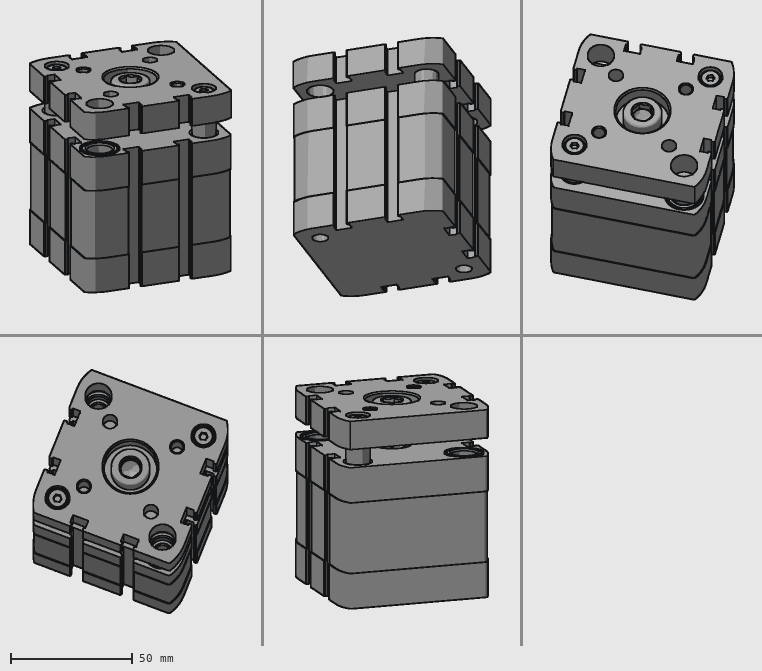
import cadquery as cq
import math

WIDTH = 65.5
HALF = WIDTH / 2
FLANK_HALF = 23.4
FLANK_RADIUS = 17.0

CAP_HEIGHT = 15.0
BARREL_HEIGHT = 30.0
BARREL_INSET = 0.35
HOUSING_HEIGHT = 2 * CAP_HEIGHT + BARREL_HEIGHT
HOUSING_CORNER_FILLET = 1.4

TOTAL_HEIGHT = 79.7
PLATE_THICKNESS = 12.0
PLATE_BOTTOM = TOTAL_HEIGHT - PLATE_THICKNESS
PLATE_CORNER_FILLET = 0.7

SLOT_OFFSET = 11.2
SLOT_DEPTH = 4.9
SLOT_WIDTH = 6.75
SLOT_NECK_WIDTH = 5.2
SLOT_NECK_DEPTH = 1.65
SLOT_LIP_CHAMFER = 0.4

CORNER_OFFSET = 46.5 / 2
ROD_CORNERS = [(-CORNER_OFFSET, -CORNER_OFFSET), (CORNER_OFFSET, CORNER_OFFSET)]
SCREW_CORNERS = [(-CORNER_OFFSET, CORNER_OFFSET), (CORNER_OFFSET, -CORNER_OFFSET)]

GUIDE_DIAMETER = 10.0
GUIDE_SEAL_DIAMETER = 12.0
GUIDE_SEAL_DEPTH = 0.5
GUIDE_DEPTH = 50.0
GUIDE_RECESS_DIAMETER = 10.0
GUIDE_HEAD_DIAMETER = 8.5
GUIDE_HEAD_DROP = 0.8
GUIDE_HEAD_CHAMFER = 0.5
GUIDE_RECESS_DEPTH = 3.0
GUIDE_HEX = 3.0
GUIDE_HEX_DEPTH = 2.0
GUIDE_HEX_TURN = 15

PISTON_ROD_DIAMETER = 16.0
WRENCH_FLATS = 13.0
WRENCH_FLAT_BOTTOM = 61.5
PISTON_ROD_DEPTH = 50.0

POCKET_DIAMETER = 22.0
POCKET_DEPTH = 7.2
POCKET_CHAMFER = 0.7
HEAD_DIAMETER = 16.0
HEAD_DROP = 0.9
HEAD_FILLET = 1.0
HEX = 8.0
HEX_DEPTH = 3.6
HEX_RIM_DIAMETER = 9.4
HEX_CONE_BREAK_DIAMETER = 5.2
HEX_CONE_DEPTH = 0.9
HEX_TIP_DEPTH = 1.3

ACCESS_DIAMETER = 11.0
FIXING_OFFSET = 14.85
FIXING_DEPTH = 10.0
DOWEL_DIAMETER = 6.0
THREAD_DIAMETER = 4.92
THREAD_CHAMFER_DIAMETER = 6.0
DOWEL_HOLES = [(-FIXING_OFFSET, FIXING_OFFSET), (FIXING_OFFSET, -FIXING_OFFSET)]
THREADED_HOLES = [(-FIXING_OFFSET, -FIXING_OFFSET), (FIXING_OFFSET, FIXING_OFFSET)]

GROOVE_DIAMETER = 16.4
GROOVE_DEPTH = 0.5
DISC_DIAMETER = 15.5
DISC_CHAMFER = 0.5
SOCKET_DIAMETER = 10.6
SOCKET_RIM_DIAMETER = 12.0
SOCKET_DEPTH = 5.0
BORE_DIAMETER = 6.65
BORE_RIM_DIAMETER = 8.0
BORE_RIM_DEPTH = 0.5


def cylinder(diameter, bottom, top, points=((0, 0),)):
    return (
        cq.Workplane("XY", origin=(0, 0, bottom))
        .pushPoints(points)
        .circle(diameter / 2)
        .extrude(top - bottom)
    )


def cone(bottom_diameter, top_diameter, bottom, top, points=((0, 0),)):
    """Truncated cones, or pointed ones when bottom_diameter is zero."""
    solid = cq.Solid.makeCone(bottom_diameter / 2, top_diameter / 2, top - bottom)
    return (
        cq.Workplane("XY", origin=(0, 0, bottom))
        .pushPoints(points)
        .eachpoint(lambda place: solid.moved(place), combine=False)
    )


def hexagon(across_flats, bottom, top, points=((0, 0),), turn=0):
    across_corners = across_flats / math.cos(math.pi / 6)
    prism = (
        cq.Workplane("XY")
        .polygon(6, across_corners)
        .extrude(top - bottom)
        .rotate((0, 0, 0), (0, 0, 1), turn)
        .val()
    )
    return (
        cq.Workplane("XY", origin=(0, 0, bottom))
        .pushPoints(points)
        .eachpoint(lambda place: prism.moved(place), combine=False)
    )


def hex_rim(across_flats, rim_diameter, top, points=((0, 0),)):
    """45 degree countersink that breaks the flats of a hexagon socket."""
    depth = (rim_diameter - across_flats) / 2
    return cone(across_flats, rim_diameter, top - depth, top, points)


def block(bottom, top, inset=0.0):
    """Square block whose +X and -X sides bend in towards the corners."""
    half = HALF - inset
    rise = half - FLANK_HALF
    sag = FLANK_RADIUS - math.sqrt(FLANK_RADIUS**2 - rise**2)
    middle_rise = FLANK_RADIUS * math.sin(math.asin(rise / FLANK_RADIUS) / 2)
    middle_sag = FLANK_RADIUS - math.sqrt(FLANK_RADIUS**2 - middle_rise**2)
    corner = half - sag
    middle = half - middle_sag
    middle_y = FLANK_HALF + middle_rise
    return (
        cq.Workplane("XY", origin=(0, 0, bottom))
        .moveTo(corner, half)
        .lineTo(-corner, half)
        .threePointArc((-middle, middle_y), (-half, FLANK_HALF))
        .lineTo(-half, -FLANK_HALF)
        .threePointArc((-middle, -middle_y), (-corner, -half))
        .lineTo(corner, -half)
        .threePointArc((middle, -middle_y), (half, -FLANK_HALF))
        .lineTo(half, FLANK_HALF)
        .threePointArc((middle, middle_y), (corner, half))
        .close()
        .extrude(top - bottom)
    )


def t_slots(bottom, top, inset=0.0):
    """Two T-slots along Z on each of the -Y, +X and -X faces, which lie `inset` inside the envelope."""
    neck = SLOT_NECK_WIDTH / 2
    lip_edge = neck + SLOT_LIP_CHAMFER
    half_slot = [
        (lip_edge, inset),
        (neck, inset + SLOT_LIP_CHAMFER),
        (neck, SLOT_NECK_DEPTH - SLOT_LIP_CHAMFER),
        (lip_edge, SLOT_NECK_DEPTH),
        (SLOT_WIDTH / 2, SLOT_NECK_DEPTH),
        (SLOT_WIDTH / 2, SLOT_DEPTH),
    ]
    outline = half_slot + [(-x, depth) for x, depth in reversed(half_slot)]
    slots = cq.Workplane("XY")
    for turn in (0, 90, -90):
        for offset in (-SLOT_OFFSET, SLOT_OFFSET):
            slot = (
                cq.Workplane("XY", origin=(0, 0, bottom))
                .polyline([(offset + x, depth - HALF) for x, depth in outline])
                .close()
                .extrude(top - bottom)
                .rotate((0, 0, 0), (0, 0, 1), turn)
            )
            slots = slots.add(slot)
    return slots.combine()


def make_housing():
    barrel_top = HOUSING_HEIGHT - CAP_HEIGHT
    corner_edges = "|Z and (>Y or <Y)"
    body = cq.Workplane("XY")
    for bottom, top, inset in (
        (0, CAP_HEIGHT, 0),
        (CAP_HEIGHT, barrel_top, BARREL_INSET),
        (barrel_top, HOUSING_HEIGHT, 0),
    ):
        section = block(bottom, top, inset).edges(corner_edges).fillet(HOUSING_CORNER_FILLET)
        body = body.union(section.cut(t_slots(bottom, top, inset)))

    top = HOUSING_HEIGHT
    body = body.cut(cylinder(GUIDE_DIAMETER, top - GUIDE_DEPTH, top, ROD_CORNERS))
    body = body.cut(cone(GUIDE_DIAMETER, GUIDE_SEAL_DIAMETER, top - GUIDE_SEAL_DEPTH, top, ROD_CORNERS))
    body = body.cut(cylinder(PISTON_ROD_DIAMETER, top - PISTON_ROD_DEPTH, top))

    groove_floor = top - GROOVE_DEPTH
    disc_top = DISC_DIAMETER - 2 * DISC_CHAMFER
    groove = cylinder(GROOVE_DIAMETER, groove_floor, top, SCREW_CORNERS)
    groove = groove.cut(cone(DISC_DIAMETER, disc_top, groove_floor, top, SCREW_CORNERS))
    body = body.cut(groove)

    socket_floor = top - SOCKET_DEPTH
    rim_depth = (SOCKET_RIM_DIAMETER - SOCKET_DIAMETER) / 2
    bore_rim_floor = socket_floor - BORE_RIM_DEPTH
    body = body.cut(cylinder(SOCKET_DIAMETER, socket_floor, top, SCREW_CORNERS))
    body = body.cut(cone(SOCKET_DIAMETER, SOCKET_RIM_DIAMETER, top - rim_depth, top, SCREW_CORNERS))
    body = body.cut(cone(BORE_DIAMETER, BORE_RIM_DIAMETER, bore_rim_floor, socket_floor, SCREW_CORNERS))
    return body.cut(cylinder(BORE_DIAMETER, 0, top, SCREW_CORNERS))


def make_piston_rod():
    """Piston rod with two wrench flats that run out at 45 degrees."""
    radius = PISTON_ROD_DIAMETER / 2
    flat = WRENCH_FLATS / 2
    rod = cylinder(PISTON_ROD_DIAMETER, HOUSING_HEIGHT - PISTON_ROD_DEPTH, PLATE_BOTTOM)
    notch = (
        cq.Workplane("YZ", origin=(-radius, 0, 0))
        .polyline([
            (flat, PLATE_BOTTOM),
            (flat, WRENCH_FLAT_BOTTOM),
            (radius, WRENCH_FLAT_BOTTOM - (radius - flat)),
            (radius, PLATE_BOTTOM),
        ])
        .close()
        .extrude(PISTON_ROD_DIAMETER)
    )
    return rod.cut(notch).cut(notch.mirror("XZ"))


def make_centre_screw_head():
    top = TOTAL_HEIGHT - HEAD_DROP
    head = cylinder(HEAD_DIAMETER, TOTAL_HEIGHT - POCKET_DEPTH, top)
    return head.faces(">Z").edges().fillet(HEAD_FILLET)


def make_yoke():
    top = TOTAL_HEIGHT
    plate = block(PLATE_BOTTOM, top).edges("|Z and <Y").fillet(PLATE_CORNER_FILLET)
    plate = plate.cut(t_slots(PLATE_BOTTOM, top))

    plate = plate.cut(cylinder(POCKET_DIAMETER, top - POCKET_DEPTH, top))
    pocket_rim = POCKET_DIAMETER + 2 * POCKET_CHAMFER
    plate = plate.cut(cone(POCKET_DIAMETER, pocket_rim, top - POCKET_CHAMFER, top))

    thread_chamfer = (THREAD_CHAMFER_DIAMETER - THREAD_DIAMETER) / 2
    plate = plate.cut(cylinder(ACCESS_DIAMETER, PLATE_BOTTOM, top, SCREW_CORNERS))
    plate = plate.cut(cylinder(DOWEL_DIAMETER, top - FIXING_DEPTH, top, DOWEL_HOLES))
    plate = plate.cut(cylinder(THREAD_DIAMETER, top - FIXING_DEPTH, top, THREADED_HOLES))
    plate = plate.cut(
        cone(THREAD_DIAMETER, THREAD_CHAMFER_DIAMETER, top - thread_chamfer, top, THREADED_HOLES)
    )

    head_top = top - GUIDE_HEAD_DROP
    plate = plate.cut(cylinder(GUIDE_RECESS_DIAMETER, top - GUIDE_RECESS_DEPTH, top, ROD_CORNERS))
    heads = cylinder(GUIDE_HEAD_DIAMETER, top - GUIDE_RECESS_DEPTH, head_top, ROD_CORNERS)
    heads = heads.faces(">Z").edges().chamfer(GUIDE_HEAD_CHAMFER)
    plate = plate.union(heads)
    plate = plate.cut(hexagon(GUIDE_HEX, head_top - GUIDE_HEX_DEPTH, head_top, ROD_CORNERS, GUIDE_HEX_TURN))

    plate = plate.union(cylinder(GUIDE_DIAMETER, HOUSING_HEIGHT - GUIDE_DEPTH, PLATE_BOTTOM, ROD_CORNERS))
    plate = plate.union(make_piston_rod()).union(make_centre_screw_head())

    screw_top = top - HEAD_DROP
    hex_floor = screw_top - HEX_DEPTH
    break_level = hex_floor - HEX_CONE_DEPTH
    plate = plate.cut(hexagon(HEX, hex_floor, screw_top))
    plate = plate.cut(hex_rim(HEX, HEX_RIM_DIAMETER, screw_top))
    plate = plate.cut(cone(HEX_CONE_BREAK_DIAMETER, HEX, break_level, hex_floor))
    return plate.cut(cone(0, HEX_CONE_BREAK_DIAMETER, break_level - HEX_TIP_DEPTH, break_level))


housing = make_housing()
yoke = make_yoke()

result = cq.Compound.makeCompound([housing.solids().val(), yoke.solids().val()])